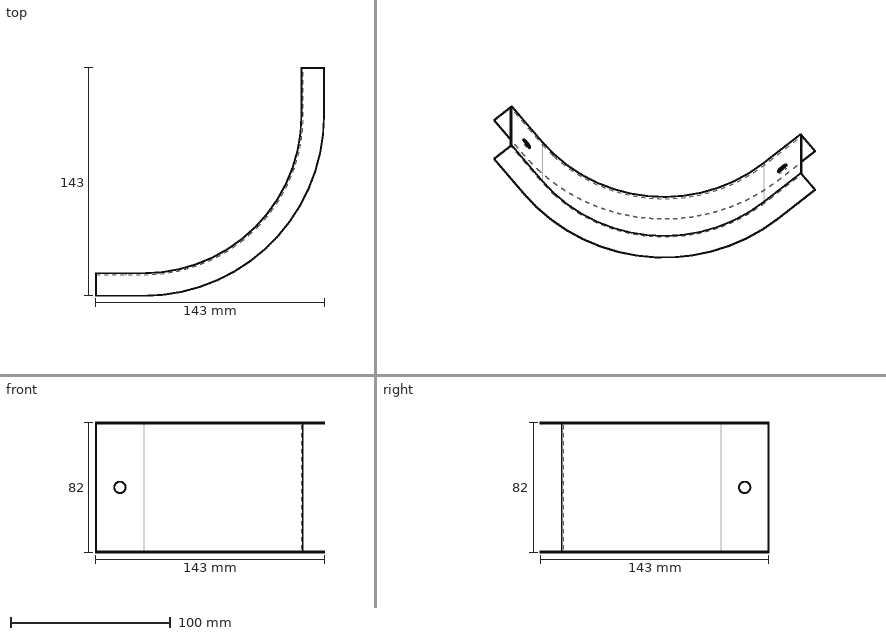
import cadquery as cq

overall_size = 143.0
height = 82.0
sheet_thickness = 1.0
channel_depth = 14.3
leg_length = 30.0
hole_diameter = 7.0

outer_radius = overall_size - leg_length
inner_radius = outer_radius - channel_depth
clear_height = height - 2 * sheet_thickness
hole_offset = leg_length / 2


def elbow(small_radius, large_radius, thickness):
    """Quarter-turn strip with a straight leg at each end, centred on Z = 0."""
    diagonal = 0.5 ** 0.5
    return (
        cq.Workplane("XY")
        .workplane(offset=-thickness / 2)
        .moveTo(-leg_length, -large_radius)
        .lineTo(0, -large_radius)
        .threePointArc((large_radius * diagonal, -large_radius * diagonal), (large_radius, 0))
        .lineTo(large_radius, leg_length)
        .lineTo(small_radius, leg_length)
        .lineTo(small_radius, 0)
        .threePointArc((small_radius * diagonal, -small_radius * diagonal), (0, -small_radius))
        .lineTo(-leg_length, -small_radius)
        .close()
        .extrude(thickness)
    )


channel = elbow(inner_radius, outer_radius, height).cut(
    elbow(inner_radius + sheet_thickness, outer_radius, clear_height)
)

hole_radius = hole_diameter / 2
first_leg_hole = cq.Solid.makeCylinder(
    hole_radius, outer_radius, cq.Vector(-hole_offset, 0, 0), cq.Vector(0, -1, 0)
)
second_leg_hole = cq.Solid.makeCylinder(
    hole_radius, outer_radius, cq.Vector(0, hole_offset, 0), cq.Vector(1, 0, 0)
)

result = channel.cut(first_leg_hole).cut(second_leg_hole)